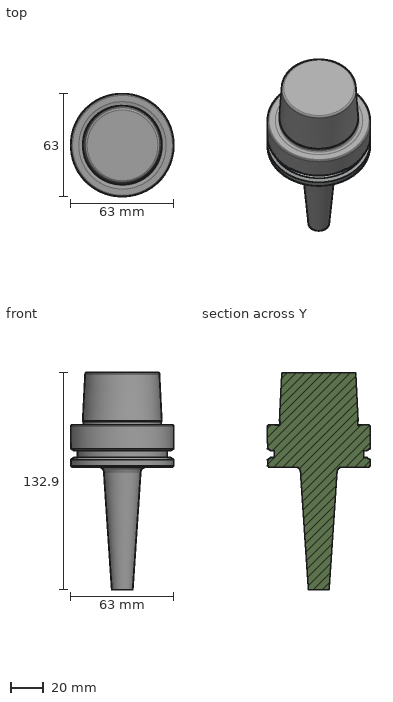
import cadquery as cq
import math

overall_length = 132.9
taper_length = 32.0
nose_z = taper_length - overall_length

gauge_radius = 24.0
gauge_z = 6.3
radius_slope = 1 / 20
taper_bottom_z = 2.5
taper_end_fillet = 1.2
neck_radius = 23.85
neck_chamfer_height = 0.8
neck_root_fillet = 0.5

flange_radius = 31.5
flange_length = 26.0
upper_rim_chamfer = 0.8
upper_rim_fillet = 0.5
lower_rim_chamfer = 0.95
relief_radius = 26.7
relief_depth = 0.45
groove_center_z = -18.0
groove_floor_radius = 27.5
groove_width = 3.95
groove_lip_drop = 2.1
groove_lip_angle = 33.0

nose_root_radius = 11.52
nose_tip_radius = 6.47
nose_root_fillet = 3.0
nose_tip_fillet = 0.6


def taper_radius(z):
    """Radius of the shank taper at height z."""
    return gauge_radius - radius_slope * (z - gauge_z)


def revolve_outline(points):
    """Solid of revolution about Z from (radius, height) points."""
    return cq.Workplane("XZ").polyline(points).close().revolve(360, (0, 0, 0), (0, 1, 0))


def make_shank():
    """Taper with a rounded end, and the neck with its conical relief below it."""
    taper = revolve_outline([
        (0, taper_bottom_z),
        (taper_radius(taper_bottom_z), taper_bottom_z),
        (taper_radius(taper_length), taper_length),
        (0, taper_length),
    ])
    taper = taper.faces(">Z").edges().fillet(taper_end_fillet)
    neck = revolve_outline([
        (0, -relief_depth),
        (neck_radius, -relief_depth),
        (neck_radius, taper_bottom_z - neck_chamfer_height),
        (taper_radius(taper_bottom_z), taper_bottom_z),
        (0, taper_bottom_z),
    ])
    return taper.union(neck)


def make_flange():
    """Flange disc with chamfered rims (the upper one eased), a face relief and the gripper groove."""
    flange = cq.Workplane("XY").circle(flange_radius).extrude(-flange_length)
    flange = flange.faces("<Z").edges().chamfer(lower_rim_chamfer)
    flange = flange.faces(">Z").edges().chamfer(upper_rim_chamfer)
    upper_rim = flange.edges("%CIRCLE").filter(lambda edge: edge.Center().z > -flange_length / 2)
    flange = upper_rim.fillet(upper_rim_fillet)
    relief = revolve_outline([
        (0, 0),
        (relief_radius, 0),
        (neck_radius, -relief_depth),
        (0, -relief_depth),
    ])
    half_width = groove_width / 2
    lip_radius = flange_radius - groove_lip_drop
    lip_half_width = half_width + groove_lip_drop * math.tan(math.radians(groove_lip_angle))
    groove = revolve_outline([
        (groove_floor_radius, groove_center_z - half_width),
        (lip_radius, groove_center_z - half_width),
        (flange_radius, groove_center_z - lip_half_width),
        (flange_radius, groove_center_z + lip_half_width),
        (lip_radius, groove_center_z + half_width),
        (groove_floor_radius, groove_center_z + half_width),
    ])
    return flange.cut(relief).cut(groove)


def make_nose():
    """Tapered nose with a rounded tip, starting at the underside of the flange."""
    nose = revolve_outline([
        (0, -flange_length),
        (nose_root_radius, -flange_length),
        (nose_tip_radius, nose_z),
        (0, nose_z),
    ])
    return nose.faces("<Z").edges().fillet(nose_tip_fillet)


def fillet_ring(body, radius, height, fillet_radius):
    """Fillet the circular edge of the given radius and height around the axis."""
    margin = 0.05
    ring = body.edges("%CIRCLE").filter(
        lambda edge: abs(edge.radius() - radius) < margin and abs(edge.Center().z - height) < margin
    )
    return ring.fillet(fillet_radius)


body = make_flange().union(make_shank()).union(make_nose())
body = fillet_ring(body, neck_radius, -relief_depth, neck_root_fillet)
result = fillet_ring(body, nose_root_radius, -flange_length, nose_root_fillet)